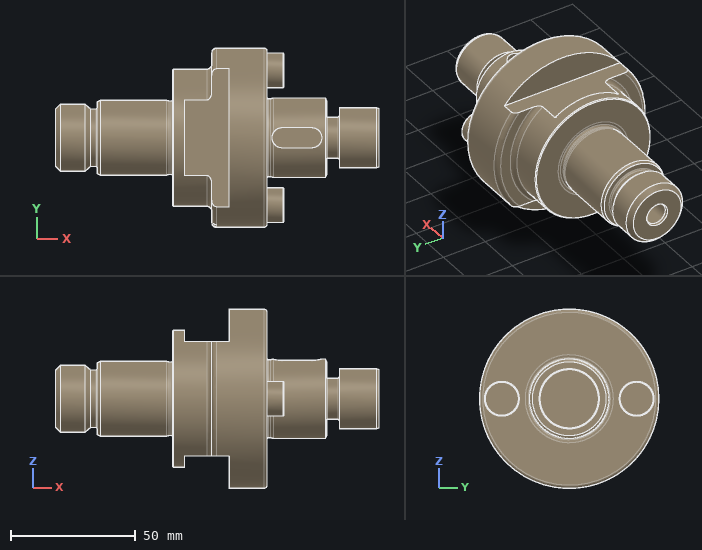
import cadquery as cq
import math


THREAD_END = 12.0
NECK_START = 14.2
NECK_END = 16.8
COLLAR_FACE = 47.0
FLANGE_BACK = 62.8
FLANGE_FACE = 85.0
NOSE_END = 109.0
HEAD_START = 114.0
HEAD_END = 130.0

THREAD_RADIUS = 13.5
NECK_RADIUS = 11.6
SHANK_RADIUS = 15.1
COLLAR_RADIUS = 27.5
FLANGE_RADIUS = 36.0
NOSE_RADIUS = 16.0

TIP_CHAMFER = 2.1
NECK_FILLET = 0.5
SHANK_CHAMFER_LENGTH = 1.3
SHANK_CHAMFER_DEPTH = 0.6
COLLAR_CHAMFER = 0.4
FLANGE_BACK_FILLET = 2.0
FLANGE_FACE_FILLET = 1.3
NOSE_CHAMFER_LENGTH = 1.2
NOSE_CHAMFER_DEPTH = 0.5

RELIEF_LENGTH = 2.5
RELIEF_DEPTH = 0.3
RELIEF_FACE_DEPTH = 0.2
RELIEF_FACE_REACH = 1.7
RELIEF_ARC_RADIUS = 0.8
RELIEF_SLOPE = 15.0

BORE_RADIUS = 4.5
BORE_DEPTH = 26.0
BORE_CHAMFER_LENGTH = 1.0
BORE_CHAMFER_DEPTH = 0.4

FLATS_START = 51.9
FLATS_END = 69.8
FLATS_HEIGHT = 23.0

KEYWAY_LENGTH = 20.0
KEYWAY_WIDTH = 8.0
KEYWAY_DEPTH = 5.0

PIN_RADIUS = 7.0
PIN_LENGTH = 6.8
PIN_OFFSET = 27.0
PIN_CHAMFER = 0.4

SCREW_SHANK_RADIUS = 8.3
SCREW_HEAD_RADIUS = 12.1
SCREW_FILLET = 0.6
SCREW_CHAMFER_LENGTH = 1.0
SCREW_CHAMFER_DEPTH = 0.4


def x_cylinder(start, end, radius):
    """A cylinder on the X axis."""
    return cq.Workplane("YZ").workplane(offset=start).circle(radius).extrude(end - start)


def ring(profile):
    """A closed profile, drawn as (X, radius), turned round the X axis."""
    return profile.close().revolve(360, (0, 0, 0), (1, 0, 0))


def relief(shoulder, radius, outward):
    """The ring of material removed at a shoulder; outward is the X direction away from it."""
    floor = radius - RELIEF_DEPTH
    slope_length = RELIEF_DEPTH / math.tan(math.radians(RELIEF_SLOPE))
    bottom = shoulder - outward * RELIEF_FACE_DEPTH
    arc_start = bottom + outward * RELIEF_ARC_RADIUS
    arc_top = floor + RELIEF_ARC_RADIUS
    arc_inset = RELIEF_ARC_RADIUS * (1 - math.sqrt(0.5))
    profile = (
        cq.Workplane("XY")
        .moveTo(shoulder + outward * RELIEF_LENGTH, radius)
        .lineTo(shoulder + outward * (RELIEF_LENGTH - slope_length), floor)
        .lineTo(arc_start, floor)
        .threePointArc((bottom + outward * arc_inset, floor + arc_inset), (bottom, arc_top))
        .lineTo(shoulder, radius + RELIEF_FACE_REACH)
    )
    return ring(profile)


def threaded_end():
    """Chamfered end, the neck behind it and the shank up to the collar."""
    profile = (
        cq.Workplane("XY")
        .moveTo(0, 0)
        .lineTo(0, THREAD_RADIUS - TIP_CHAMFER)
        .lineTo(TIP_CHAMFER, THREAD_RADIUS)
        .lineTo(THREAD_END, THREAD_RADIUS)
        .lineTo(NECK_START, NECK_RADIUS)
        .lineTo(NECK_END - NECK_FILLET, NECK_RADIUS)
        .radiusArc((NECK_END, NECK_RADIUS + NECK_FILLET), -NECK_FILLET)
        .lineTo(NECK_END, SHANK_RADIUS - SHANK_CHAMFER_DEPTH)
        .lineTo(NECK_END + SHANK_CHAMFER_LENGTH, SHANK_RADIUS)
        .lineTo(COLLAR_FACE, SHANK_RADIUS)
        .lineTo(COLLAR_FACE, 0)
    )
    return ring(profile)


def collar_and_flange():
    """Collar and larger flange, with a fillet between them and both flange rims rounded."""
    profile = (
        cq.Workplane("XY")
        .moveTo(COLLAR_FACE, 0)
        .lineTo(COLLAR_FACE, COLLAR_RADIUS - COLLAR_CHAMFER)
        .lineTo(COLLAR_FACE + COLLAR_CHAMFER, COLLAR_RADIUS)
        .lineTo(FLANGE_BACK - FLANGE_BACK_FILLET, COLLAR_RADIUS)
        .radiusArc((FLANGE_BACK, COLLAR_RADIUS + FLANGE_BACK_FILLET), -FLANGE_BACK_FILLET)
        .lineTo(FLANGE_BACK, FLANGE_RADIUS - FLANGE_BACK_FILLET)
        .radiusArc((FLANGE_BACK + FLANGE_BACK_FILLET, FLANGE_RADIUS), FLANGE_BACK_FILLET)
        .lineTo(FLANGE_FACE - FLANGE_FACE_FILLET, FLANGE_RADIUS)
        .radiusArc((FLANGE_FACE, FLANGE_RADIUS - FLANGE_FACE_FILLET), FLANGE_FACE_FILLET)
        .lineTo(FLANGE_FACE, 0)
    )
    return ring(profile)


def nose():
    """Locating cylinder in front of the flange, chamfered at its end."""
    return x_cylinder(FLANGE_FACE, NOSE_END, NOSE_RADIUS).faces(">X").chamfer(
        NOSE_CHAMFER_DEPTH, NOSE_CHAMFER_LENGTH
    )


def wrench_flat_cut(side):
    """Block removed above (side = 1) or below (side = -1) one wrench flat."""
    height = FLANGE_RADIUS - FLATS_HEIGHT
    return cq.Workplane("XY").box(FLATS_END - FLATS_START, 2 * FLANGE_RADIUS, height).translate(
        ((FLATS_START + FLATS_END) / 2, 0, side * (FLATS_HEIGHT + height / 2))
    )


def keyway_cut():
    """Round-ended slot halfway along the top of the nose."""
    return (
        cq.Workplane("XY")
        .workplane(offset=NOSE_RADIUS - KEYWAY_DEPTH)
        .center((FLANGE_FACE + NOSE_END) / 2, 0)
        .slot2D(KEYWAY_LENGTH, KEYWAY_WIDTH)
        .extrude(KEYWAY_DEPTH)
    )


def bore_cut():
    """Blind bore in the tip, with a small chamfer at its mouth."""
    profile = (
        cq.Workplane("XY")
        .moveTo(0, 0)
        .lineTo(0, BORE_RADIUS + BORE_CHAMFER_DEPTH)
        .lineTo(BORE_CHAMFER_LENGTH, BORE_RADIUS)
        .lineTo(BORE_DEPTH, BORE_RADIUS)
        .lineTo(BORE_DEPTH, 0)
    )
    return ring(profile)


def make_arbor():
    """Main body: threaded end, shank, collar, flange and nose."""
    body = threaded_end().union(collar_and_flange()).union(nose())
    body = body.cut(relief(COLLAR_FACE, SHANK_RADIUS, -1))
    body = body.cut(relief(FLANGE_FACE, NOSE_RADIUS, 1))
    for side in (1, -1):
        body = body.cut(wrench_flat_cut(side))
    return body.cut(keyway_cut()).cut(bore_cut())


def make_drive_pin(side):
    """Round pin standing on the flange face, on the +Y (side = 1) or -Y (side = -1) side."""
    pin = x_cylinder(FLANGE_FACE, FLANGE_FACE + PIN_LENGTH, PIN_RADIUS).faces(">X").chamfer(PIN_CHAMFER)
    return pin.translate((0, side * PIN_OFFSET, 0))


def make_clamping_screw():
    """Screw whose shank stands on the end of the nose, with a plain cylindrical head."""
    profile = (
        cq.Workplane("XY")
        .moveTo(NOSE_END, 0)
        .lineTo(NOSE_END, SCREW_SHANK_RADIUS)
        .lineTo(HEAD_START - SCREW_FILLET, SCREW_SHANK_RADIUS)
        .radiusArc((HEAD_START, SCREW_SHANK_RADIUS + SCREW_FILLET), -SCREW_FILLET)
        .lineTo(HEAD_START, SCREW_HEAD_RADIUS)
        .lineTo(HEAD_END - SCREW_CHAMFER_LENGTH, SCREW_HEAD_RADIUS)
        .lineTo(HEAD_END, SCREW_HEAD_RADIUS - SCREW_CHAMFER_DEPTH)
        .lineTo(HEAD_END, 0)
    )
    return ring(profile)


arbor = make_arbor()
drive_pins = [make_drive_pin(side) for side in (1, -1)]
clamping_screw = make_clamping_screw()

result = cq.Compound.makeCompound(
    [arbor.solids().val(), *[pin.val() for pin in drive_pins], clamping_screw.val()]
)